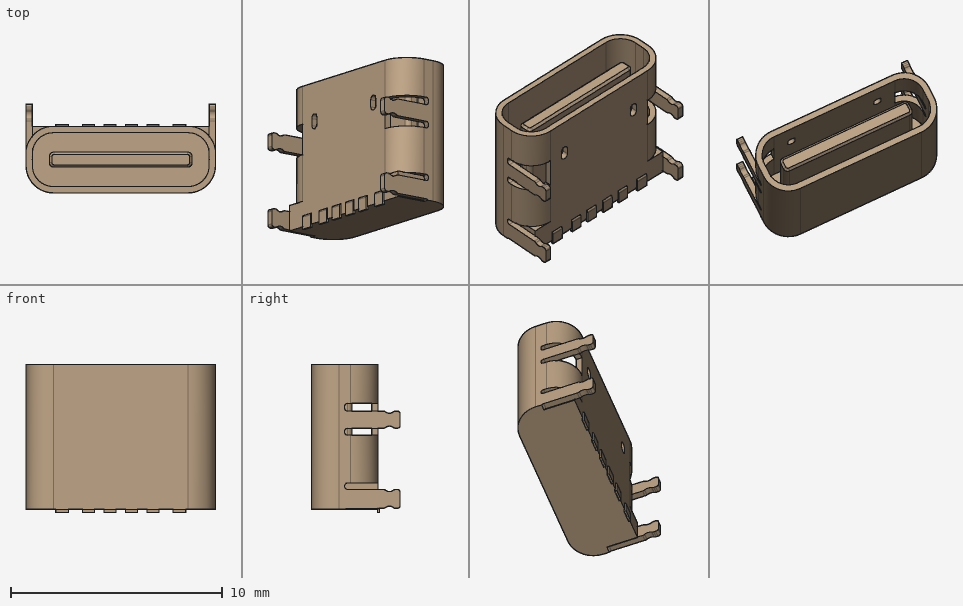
import cadquery as cq
import math


WIDTH = 8.95
OVERALL_DEPTH = 4.2
DEPTH = 3.15
HEIGHT = 6.85
WALL = 0.3
CORNER_RADIUS = 1.3
BACK = DEPTH / 2
INNER_WIDTH = WIDTH - 2 * WALL
INNER_DEPTH = DEPTH - 2 * WALL
BEND_START_X = WIDTH / 2 - CORNER_RADIUS

WINDOW_FRONT = 0.0
WINDOW_END_RADIUS = 0.13
UPPER_WINDOW = (3.51, 5.0)
LOWER_WINDOW = (-0.25, 1.24)

BASE_TOP = LOWER_WINDOW[1]

LEG_ROOT = WINDOW_FRONT + WINDOW_END_RADIUS
LEG_TIP = OVERALL_DEPTH - BACK
UPPER_LEG = (3.83, 4.645)
LOWER_LEG = (0.05, 0.95)
TIP_RADIUS = 0.13
NOTCH_FROM_TIP = 0.51
NOTCH_DEPTH = 0.1
NOTCH_RADIUS = 0.295
NOTCH_EDGE_RADIUS = 0.16

SLOT_WIDTH = 0.38
SLOT_LENGTH = 0.72
SLOT_SPACING = 4.51
SLOT_TOP = 5.32

TONGUE_WIDTH = 6.73
TONGUE_DEPTH = 0.72
TONGUE_TOP = HEIGHT - 0.61
TONGUE_CORNER_RADIUS = 0.215
TONGUE_CHAMFER = 0.12

PIN_THICKNESS = 0.11
PIN_BACK = BACK + 0.07
PIN_DROP = 0.15
PIN_TOP = 0.54
PIN_BEND_RADIUS = 0.1
OUTER_PIN_WIDTH = 0.61
INNER_PIN_WIDTH = 0.58
PINS = ((0.51, INNER_PIN_WIDTH), (1.52, INNER_PIN_WIDTH), (2.77, OUTER_PIN_WIDTH))

SIDES = (-1, 1)


def box_between(x_range, y_range, z_range):
    """Box spanning the given (low, high) range on each axis."""
    ranges = (x_range, y_range, z_range)
    sizes = [high - low for low, high in ranges]
    return cq.Workplane("XY").box(*sizes, centered=False).translate([low for low, _ in ranges])


def rounded_prism(width, depth, radius, height):
    """Upright block with rounded vertical edges, standing on Z = 0."""
    return (
        cq.Workplane("XY")
        .rect(width, depth)
        .extrude(height)
        .edges("|Z")
        .fillet(radius)
    )


def inner_prism(height):
    """Block filling the inside of the shell up to the given height."""
    return rounded_prism(INNER_WIDTH, INNER_DEPTH, CORNER_RADIUS - WALL, height)


def make_window(z_range, leg_range):
    """Cutter for both rear corners of the shell, with a rounded slot end above and below the leg."""
    x_range = (-WIDTH / 2, WIDTH / 2)
    cutter = box_between(x_range, (LEG_ROOT, BACK), z_range)
    for gap in ((z_range[0], leg_range[0]), (leg_range[1], z_range[1])):
        slot = box_between(x_range, (WINDOW_FRONT, BACK), gap)
        cutter = cutter.union(slot.edges("|X and <Y").fillet(WINDOW_END_RADIUS))
    kept_back = box_between((-BEND_START_X, BEND_START_X), (-BACK, BACK), z_range)
    return cutter.cut(kept_back)


def make_shell():
    shell = rounded_prism(WIDTH, DEPTH, CORNER_RADIUS, HEIGHT).cut(inner_prism(HEIGHT))
    shell = shell.cut(make_window(UPPER_WINDOW, UPPER_LEG))
    shell = shell.cut(make_window(LOWER_WINDOW, LOWER_LEG))
    slot_height = SLOT_TOP - SLOT_LENGTH / 2
    slots = (
        cq.Workplane("XZ")
        .pushPoints([(side * SLOT_SPACING / 2, slot_height) for side in SIDES])
        .slot2D(SLOT_LENGTH, SLOT_WIDTH, 90)
        .extrude(-DEPTH)
    )
    return shell.cut(slots)


def make_leg(z_range, side):
    """Flat leg pointing to +Y, with a notch in each edge behind its rounded tip."""
    bottom, top = z_range
    x_inner = side * INNER_WIDTH / 2
    x_outer = side * WIDTH / 2
    x_range = (min(x_inner, x_outer), max(x_inner, x_outer))
    leg = box_between(x_range, (LEG_ROOT, LEG_TIP), z_range)
    leg = leg.edges("|X and >Y").fillet(TIP_RADIUS)

    notch_y = LEG_TIP - NOTCH_FROM_TIP
    radius_sum = NOTCH_RADIUS + NOTCH_EDGE_RADIUS
    rise = radius_sum - NOTCH_DEPTH
    half_mouth = math.sqrt(radius_sum**2 - rise**2)
    half_angle = math.atan2(half_mouth, rise)
    join_y = NOTCH_RADIUS * math.sin(half_angle)
    join_z = NOTCH_RADIUS * (1 - math.cos(half_angle)) - NOTCH_DEPTH
    edge_y = half_mouth - NOTCH_EDGE_RADIUS * math.sin(half_angle / 2)
    edge_z = NOTCH_EDGE_RADIUS * (math.cos(half_angle / 2) - 1)

    for edge, outward in ((top, 1), (bottom, -1)):
        def at(y, z):
            return (notch_y + y, edge + outward * z)

        notch = (
            cq.Workplane("YZ", origin=(x_range[0], 0, 0))
            .moveTo(*at(-half_mouth, 0))
            .threePointArc(at(-edge_y, edge_z), at(-join_y, join_z))
            .threePointArc(at(0, -NOTCH_DEPTH), at(join_y, join_z))
            .threePointArc(at(edge_y, edge_z), at(half_mouth, 0))
            .close()
            .extrude(WALL)
        )
        leg = leg.cut(notch)
    return leg


def make_base():
    """Insulator in the bottom of the shell; its rear corners are square and fill the windows."""
    rear = box_between(
        (-INNER_WIDTH / 2, INNER_WIDTH / 2), (WINDOW_FRONT, BACK), (0, BASE_TOP)
    )
    return inner_prism(BASE_TOP).union(rear)


def make_tongue():
    tongue = rounded_prism(TONGUE_WIDTH, TONGUE_DEPTH, TONGUE_CORNER_RADIUS, TONGUE_TOP)
    return tongue.faces(">Z").chamfer(TONGUE_CHAMFER)


def make_pin(x, width):
    """Flat pin down the back of the base, with its outer top edge rounded."""
    pin = box_between(
        (x - width / 2, x + width / 2), (PIN_BACK - PIN_THICKNESS, PIN_BACK), (-PIN_DROP, PIN_TOP)
    )
    return pin.edges(">Y and >Z").fillet(PIN_BEND_RADIUS)


result = make_shell().union(make_base()).union(make_tongue())
for side in SIDES:
    for leg_range in (UPPER_LEG, LOWER_LEG):
        result = result.union(make_leg(leg_range, side))
    for pin_x, pin_width in PINS:
        result = result.union(make_pin(side * pin_x, pin_width))